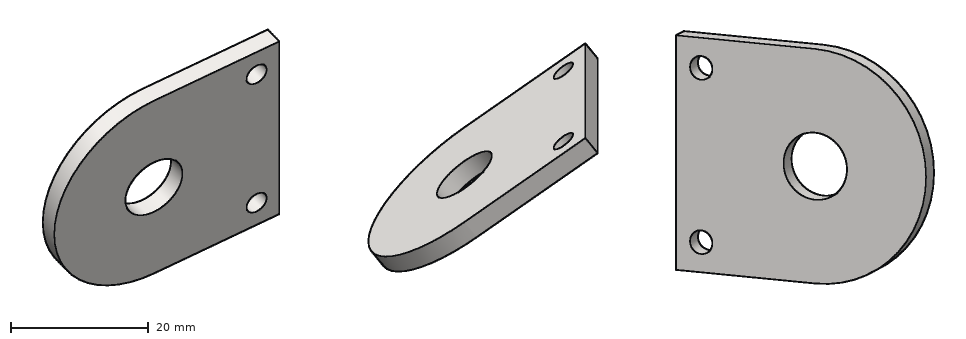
import cadquery as cq

length = 39.5
height = 35.0
thickness = 3.0
bore_diameter = 10.0
mount_hole_diameter = 3.5
mount_hole_inset = 4.0
mount_hole_spacing = 26.0

end_radius = height / 2
flat_end_y = length - end_radius
mount_hole_y = flat_end_y - mount_hole_inset


def plate():
    """Plate in the YZ plane with a flat +Y end and a round -Y end."""
    return (
        cq.Workplane("YZ")
        .moveTo(flat_end_y, end_radius)
        .lineTo(0, end_radius)
        .threePointArc((-end_radius, 0), (0, -end_radius))
        .lineTo(flat_end_y, -end_radius)
        .close()
        .extrude(thickness)
    )


def through_holes(points, diameter):
    """Cylinders through the plate thickness at (y, z) points."""
    return cq.Workplane("YZ").pushPoints(points).circle(diameter / 2).extrude(thickness)


mount_points = [(mount_hole_y, side * mount_hole_spacing / 2) for side in (-1, 1)]

result = (
    plate()
    .cut(through_holes([(0, 0)], bore_diameter))
    .cut(through_holes(mount_points, mount_hole_diameter))
)